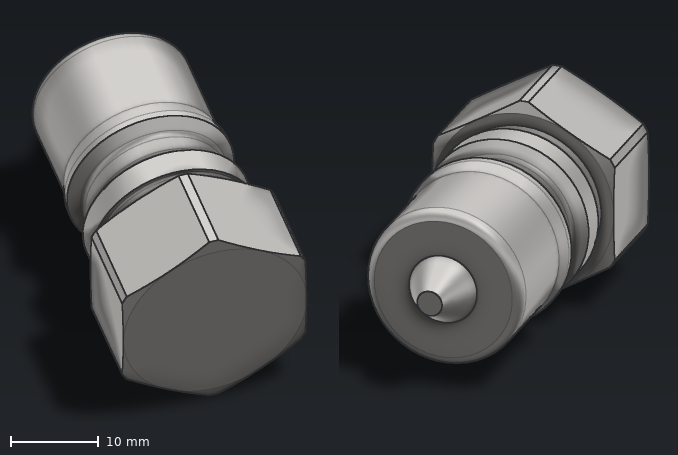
import cadquery as cq
import math

total_length = 43.55
nose_x = 4.55
ramp_start_x = 17.12
ramp_end_x = 19.1
groove_start_x = 20.0
groove_end_x = 25.8
collar_end_x = 29.05
hex_start_x = 31.55

tip_radius = 3.0 / 2
body_radius = 19.05 / 2
collar_radius = 20.1 / 2
groove_radius = 17.0 / 2
nose_face_radius = 16.75 / 2
neck_radius = 19.0 / 2

probe_angle = math.radians(30)
front_wall_angle = math.radians(48)
rear_wall_angle = math.radians(45)
groove_fillet = 1.0
nose_round_length = 1.45
neck_fillet = 0.25

across_flats = 22.0
across_corners = 24.8
hex_chamfer_length = 0.4


def groove_corner(edge_x, wall_angle, direction):
    """Wall tangency, arc midpoint and floor tangency of one rounded groove corner.

    direction is +1 where the groove floor lies toward +X of the edge, else -1.
    """
    depth = collar_radius - groove_radius
    wall_run = depth / math.tan(wall_angle)
    floor_offset = wall_run + groove_fillet * math.tan(wall_angle / 2)
    center_x = edge_x + direction * floor_offset
    center_r = groove_radius + groove_fillet

    def arc_point(angle):
        x = center_x - direction * groove_fillet * math.sin(angle)
        return (x, center_r - groove_fillet * math.cos(angle))

    return arc_point(wall_angle), arc_point(wall_angle / 2), arc_point(0)


def turned_body():
    """Probe, nose, locking groove, collar and neck as one revolved profile."""
    probe_base_radius = tip_radius + nose_x * math.tan(probe_angle)
    nose_end_x = nose_x + nose_round_length
    nose_drop = body_radius - nose_face_radius
    nose_round = (nose_round_length**2 + nose_drop**2) / (2 * nose_drop)
    half_sweep = math.asin(nose_round_length / nose_round) / 2
    nose_mid = (
        nose_end_x - nose_round * math.sin(half_sweep),
        body_radius - nose_round * (1 - math.cos(half_sweep)),
    )
    neck_round_end = (collar_end_x + neck_fillet, neck_radius)
    neck_round_offset = neck_fillet * (1 - math.sqrt(0.5))
    neck_round_mid = (collar_end_x + neck_round_offset, neck_radius + neck_round_offset)
    front_wall, front_mid, front_floor = groove_corner(groove_start_x, front_wall_angle, 1)
    rear_wall, rear_mid, rear_floor = groove_corner(groove_end_x, rear_wall_angle, -1)
    profile = (
        cq.Workplane("XY")
        .lineTo(0, tip_radius)
        .lineTo(nose_x, probe_base_radius)
        .lineTo(nose_x, nose_face_radius)
        .threePointArc(nose_mid, (nose_end_x, body_radius))
        .lineTo(ramp_start_x, body_radius)
        .lineTo(ramp_end_x, collar_radius)
        .lineTo(groove_start_x, collar_radius)
        .lineTo(*front_wall)
        .threePointArc(front_mid, front_floor)
        .lineTo(*rear_floor)
        .threePointArc(rear_mid, rear_wall)
        .lineTo(groove_end_x, collar_radius)
        .lineTo(collar_end_x, collar_radius)
        .lineTo(collar_end_x, neck_radius + neck_fillet)
        .threePointArc(neck_round_mid, neck_round_end)
        .lineTo(total_length, neck_radius)
        .lineTo(total_length, 0)
        .close()
    )
    return profile.revolve(360, (0, 0, 0), (1, 0, 0))


def hexagon():
    """Hexagon with corners on Z, trimmed by a cylinder with coned ends."""
    face_radius = across_flats / 2
    corner_radius = across_corners / 2
    prism = (
        cq.Workplane("YZ", origin=(hex_start_x, 0, 0))
        .polygon(6, across_flats, circumscribed=True)
        .extrude(total_length - hex_start_x)
    )
    envelope = (
        cq.Workplane("XY")
        .moveTo(hex_start_x, 0)
        .lineTo(hex_start_x, face_radius)
        .lineTo(hex_start_x + hex_chamfer_length, corner_radius)
        .lineTo(total_length - hex_chamfer_length, corner_radius)
        .lineTo(total_length, face_radius)
        .lineTo(total_length, 0)
        .close()
        .revolve(360, (0, 0, 0), (1, 0, 0))
    )
    return prism.intersect(envelope)


result = turned_body().union(hexagon())